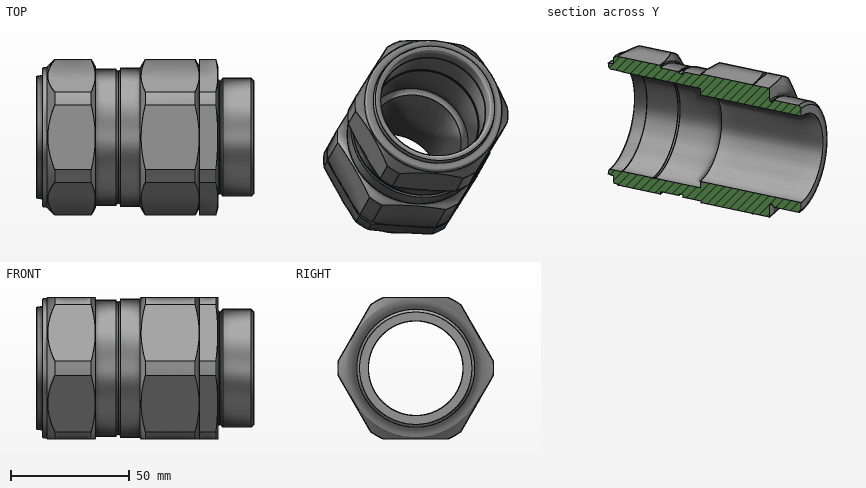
import cadquery as cq
import math


HEX_SIDES = 6
ACROSS_FLATS = 60.0
CORNER_R = 33.0

LENGTH = 92.0
NUT_FACE_X = 2.45
NUT_END_X = 25.0
GROOVE_START_X = 33.6
GROOVE_BOTTOM_X = 34.65
GROOVE_END_X = 35.5
BODY_HEX_X = 43.8
FLANGE_X = 68.9
FLANGE_END_X = 76.9
RELIEF_START_X = 77.4
RELIEF_END_X = 78.0
THREAD_X = 78.85

BUSH_FRONT_R = 25.8
BUSH_R = 26.2
NUT_COLLAR_R = 29.6
NUT_COLLAR_FILLET = 0.9
SLEEVE_R = 28.9
BAND_R = 29.3
GROOVE_SHOULDER_R = 28.4
GROOVE_BOTTOM_R = 27.9
NECK_R = 24.5
RELIEF_R = 23.9
THREAD_R = 25.0
THREAD_CHAMFER = 1.2

NUT_FRONT_CHAMFER = 45.0
HEX_CHAMFER = 30.0
FLANGE_CHAMFER = 15.0
NUT_CORNER_X = 7.7
BODY_CORNER_X = 46.0
NUT_REAR_CORNER_X = 23.1
BODY_REAR_CORNER_X = 67.1
FLANGE_CORNER_X = 75.9

BUSH_BORE_R = 23.2
MOUTH_FILLET = 1.6
BUSH_DEPTH = 6.6
SLEEVE_BORE_R = 23.0
BORE_GROOVE_X = 21.4
BORE_GROOVE_WIDTH = 1.0
BORE_GROOVE_DEPTH = 0.2
SHOULDER_X = BODY_HEX_X
THROUGH_R = 20.0


def revolve_about_x(profile):
    """Turn a closed profile drawn as (x, radius) about the X axis."""
    return profile.close().revolve(360, (0, 0, 0), (1, 0, 0))


def turned(points):
    """Solid of revolution below a line of (x, radius) points."""
    start = (points[0][0], 0)
    end = (points[-1][0], 0)
    return revolve_about_x(cq.Workplane("XY").polyline([start] + points + [end]))


def cone_radius(distance, angle):
    """Radius of a corner cone at an axial distance from where it meets the corners."""
    return CORNER_R - distance / math.tan(math.radians(angle))


def hexagon(start, front_corner, front_angle, rear_corner, rear_angle, end):
    """Hexagon from start to end whose corners are turned down and chamfered at both ends."""
    envelope = [(start, cone_radius(front_corner - start, front_angle))]
    if front_corner > start:
        envelope.append((front_corner, CORNER_R))
    envelope.append((rear_corner, CORNER_R))
    envelope.append((end, cone_radius(end - rear_corner, rear_angle)))
    across_corners = ACROSS_FLATS / math.cos(math.pi / HEX_SIDES)
    prism = (
        cq.Workplane("YZ")
        .workplane(offset=start)
        .polygon(HEX_SIDES, across_corners)
        .extrude(end - start)
    )
    return prism.intersect(turned(envelope))


def bush():
    """Slightly tapered bush that stands out of the nut."""
    return turned([(0, BUSH_FRONT_R), (NUT_FACE_X, BUSH_R)])


def nut():
    """Rounded collar followed by the nut's hexagon."""
    cone_length = (CORNER_R - NUT_COLLAR_R) * math.tan(math.radians(NUT_FRONT_CHAMFER))
    hex_x = NUT_CORNER_X - cone_length
    collar = (
        cq.Workplane("YZ")
        .workplane(offset=NUT_FACE_X)
        .circle(NUT_COLLAR_R)
        .extrude(hex_x - NUT_FACE_X)
        .faces("<X")
        .edges()
        .fillet(NUT_COLLAR_FILLET)
    )
    hex_part = hexagon(hex_x, NUT_CORNER_X, NUT_FRONT_CHAMFER, NUT_REAR_CORNER_X, HEX_CHAMFER, NUT_END_X)
    return collar.union(hex_part)


def sleeve():
    """Two plain bands with a V groove between them."""
    return turned([
        (NUT_END_X, SLEEVE_R),
        (GROOVE_START_X, SLEEVE_R),
        (GROOVE_START_X, GROOVE_SHOULDER_R),
        (GROOVE_BOTTOM_X, GROOVE_BOTTOM_R),
        (GROOVE_END_X, GROOVE_SHOULDER_R),
        (GROOVE_END_X, BAND_R),
        (BODY_HEX_X, BAND_R),
    ])


def body_and_flange():
    """Main hexagon with the thinner hexagonal flange against its rear face."""
    body = hexagon(BODY_HEX_X, BODY_CORNER_X, HEX_CHAMFER, BODY_REAR_CORNER_X, HEX_CHAMFER, FLANGE_X)
    flange = hexagon(FLANGE_X, FLANGE_X, HEX_CHAMFER, FLANGE_CORNER_X, FLANGE_CHAMFER, FLANGE_END_X)
    return body.union(flange)


def entry_thread():
    """Plain thread cylinder with a relief against the flange."""
    return turned([
        (FLANGE_END_X, NECK_R),
        (RELIEF_START_X, RELIEF_R),
        (RELIEF_END_X, RELIEF_R),
        (THREAD_X, THREAD_R),
        (LENGTH - THREAD_CHAMFER, THREAD_R),
        (LENGTH, THREAD_R - THREAD_CHAMFER),
    ])


def bore():
    """Material removed inside: rounded mouth, stepped wide bore, then the narrower through hole."""
    groove_end_x = BORE_GROOVE_X + BORE_GROOVE_WIDTH
    groove_r = SLEEVE_BORE_R + BORE_GROOVE_DEPTH
    mouth_r = BUSH_BORE_R + MOUTH_FILLET
    arc_offset = MOUTH_FILLET * math.sin(math.pi / 4)
    profile = (
        cq.Workplane("XY")
        .moveTo(0, 0)
        .lineTo(0, mouth_r)
        .threePointArc((MOUTH_FILLET - arc_offset, mouth_r - arc_offset), (MOUTH_FILLET, BUSH_BORE_R))
        .lineTo(BUSH_DEPTH, BUSH_BORE_R)
        .lineTo(BUSH_DEPTH, SLEEVE_BORE_R)
        .lineTo(BORE_GROOVE_X, SLEEVE_BORE_R)
        .lineTo(BORE_GROOVE_X, groove_r)
        .lineTo(groove_end_x, groove_r)
        .lineTo(groove_end_x, SLEEVE_BORE_R)
        .lineTo(SHOULDER_X, SLEEVE_BORE_R)
        .lineTo(SHOULDER_X, THROUGH_R)
        .lineTo(LENGTH, THROUGH_R)
        .lineTo(LENGTH, 0)
    )
    return revolve_about_x(profile)


outside = bush().union(nut()).union(sleeve()).union(body_and_flange()).union(entry_thread())
result = outside.cut(bore())